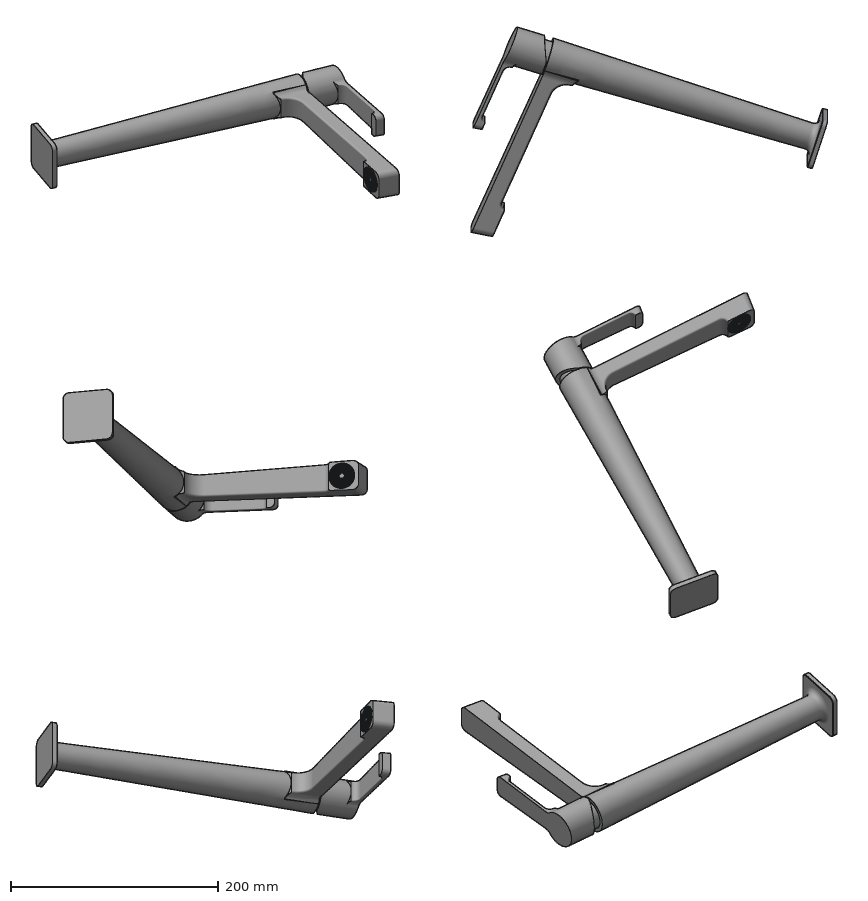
import cadquery as cq
import math


plate_size = 50.0
plate_thickness = 5.0
plate_corner_radius = 6.0
plate_edge_chamfer = 0.5

column_height = 275.4
column_foot_radius = 13.1
column_top_radius = 18.5
foot_flare_radius = 6.0

neck_radius = 14.8
cap_radius = column_top_radius
cap_gap = 1.0
cap_axis_height = 314.0
relief_start_x = 2.0
relief_height = 8.5

arm_rise = math.radians(6.0)
heel_angle = math.radians(30.0)
slope = math.tan(arm_rise)

spout_reach = 188.78
spout_top_at_axis = column_height - column_top_radius * slope
spout_thickness = 14.9
spout_head_depth = 20.4
spout_head_length = 34.0
spout_step_radius = 6.0
spout_root_width = 22.2
spout_tip_width = 29.8
spout_root_radius = 16.5
spout_side_radius = 9.6
spout_side_run = 7.8
spout_corner_radius = 6.0
spout_edge_fillet = 1.8

lever_reach = 88.4
lever_thickness = 3.5
lever_head_depth = 8.3
lever_head_length = 10.0
lever_step_radius = 4.8
lever_root_width = 21.6
lever_tip_width = 24.3
lever_root_radius = 7.0
lever_side_radius = 8.0
lever_side_run = 4.8
lever_corner_radius = 5.0
lever_edge_fillet = 0.8

aerator_center_x = 169.9
aerator_radius = 12.6
aerator_groove_count = 5
aerator_groove_pitch = 2.2
aerator_groove_width = 1.1
aerator_groove_depth = 1.0


def make_plate():
    """Square base plate with rounded corners and a chamfered upper rim."""
    plate = cq.Workplane("XZ").rect(plate_size, plate_size).extrude(-plate_thickness)
    plate = plate.edges("|Y").fillet(plate_corner_radius)
    return plate.faces(">Y").edges().chamfer(plate_edge_chamfer)


def make_column():
    """Revolved column with a concave flare at its foot."""
    flare_top = plate_thickness + foot_flare_radius
    flare_foot_radius = column_foot_radius + foot_flare_radius
    return (
        cq.Workplane("XY")
        .lineTo(flare_foot_radius, 0)
        .lineTo(flare_foot_radius, plate_thickness)
        .radiusArc((column_foot_radius, flare_top), foot_flare_radius)
        .lineTo(column_top_radius, column_height)
        .lineTo(0, column_height)
        .close()
        .revolve(360, (0, 0, 0), (0, 1, 0))
    )


def make_cap():
    """Lever cap with a sloping top and a slanted relief under its rear side, on a narrower neck."""
    cap_bottom = column_height + cap_gap
    outline = (
        cq.Workplane("XY")
        .polyline([
            (relief_start_x, cap_bottom),
            (cap_radius, cap_bottom),
            (cap_radius, cap_axis_height + cap_radius * slope),
            (-cap_radius, cap_axis_height - cap_radius * slope),
            (-cap_radius, cap_bottom + relief_height),
        ])
        .close()
        .extrude(cap_radius, both=True)
    )
    round_bar = cq.Workplane("XZ").circle(cap_radius).extrude(-2 * cap_axis_height)
    neck_top = cap_bottom + relief_height
    neck = (
        cq.Workplane("XZ", origin=(0, column_height, 0))
        .circle(neck_radius)
        .extrude(column_height - neck_top)
    )
    return round_bar.intersect(outline).union(neck)


def arm_point(top_at_axis, along, drop):
    """Place a point by its distance along an arm's top face and its drop square to that face."""
    x = along * math.cos(arm_rise) + drop * math.sin(arm_rise)
    y = top_at_axis + along * math.sin(arm_rise) - drop * math.cos(arm_rise)
    return (x, y)


def make_arm_profile(reach, top_at_axis, thickness, head_depth, head_length, step_radius, root_radius,
                     side_run):
    """Side shape: a rising bar with a deeper, undercut head and a flare underneath at the root."""
    root_x = column_top_radius
    tip_along = reach / math.cos(arm_rise)
    tip_setback = head_depth * math.tan(2 * arm_rise)
    head_along = tip_along - head_length
    step_rise = step_radius - (head_depth - thickness)
    step_run = math.sqrt(step_radius ** 2 - step_rise ** 2)

    corner_y = top_at_axis + root_x * slope - thickness / math.cos(arm_rise)
    tangent_length = root_radius * math.tan((math.pi / 2 - arm_rise) / 2)
    flare_bottom = (root_x, corner_y - tangent_length)
    flare_end = (
        root_x + tangent_length * math.cos(arm_rise),
        corner_y + tangent_length * math.sin(arm_rise),
    )
    heel = (root_x - side_run, flare_bottom[1] - side_run * math.tan(heel_angle))
    return (
        cq.Workplane("XY")
        .moveTo(0, top_at_axis)
        .lineTo(*arm_point(top_at_axis, tip_along, 0))
        .lineTo(*arm_point(top_at_axis, tip_along - tip_setback, head_depth))
        .lineTo(*arm_point(top_at_axis, head_along, head_depth))
        .radiusArc(arm_point(top_at_axis, head_along - step_run, thickness), -step_radius)
        .lineTo(*flare_end)
        .radiusArc(flare_bottom, -root_radius)
        .lineTo(*heel)
        .lineTo(0, heel[1])
        .close()
        .extrude(column_top_radius, both=True)
    )


def make_arm_plan(reach, top_at_axis, root_width, tip_width, side_radius, side_run):
    """Plan shape: straight sides widening toward the tip, flared outward into the column."""
    root_x = column_top_radius
    root_half = root_width / 2
    tip_half = tip_width / 2
    flare_x = root_x - side_run
    flare_half = root_half + side_radius - math.sqrt(side_radius ** 2 - side_run ** 2)
    return (
        cq.Workplane("XZ")
        .moveTo(0, -flare_half)
        .lineTo(flare_x, -flare_half)
        .radiusArc((root_x, -root_half), side_radius)
        .lineTo(reach, -tip_half)
        .lineTo(reach, tip_half)
        .lineTo(root_x, root_half)
        .radiusArc((flare_x, flare_half), side_radius)
        .lineTo(0, flare_half)
        .close()
        .extrude(-2 * top_at_axis)
    )


def make_arm(reach, top_at_axis, thickness, head_depth, head_length, step_radius, root_width,
             tip_width, root_radius, side_radius, side_run, corner_radius, edge_fillet):
    """Arm with rounded long lower edges and rounded tip corners."""
    profile = make_arm_profile(
        reach, top_at_axis, thickness, head_depth, head_length, step_radius, root_radius, side_run
    )
    plan = make_arm_plan(reach, top_at_axis, root_width, tip_width, side_radius, side_run)
    arm = profile.intersect(plan)

    middle_along = (column_top_radius + reach) / 2
    middle_x, middle_y = arm_point(top_at_axis, middle_along, thickness)
    lower_edges = cq.selectors.BoxSelector(
        (middle_x - head_length, middle_y - thickness / 2, -tip_width),
        (middle_x + head_length, middle_y + thickness / 2, tip_width),
    )
    arm = arm.edges(lower_edges).edges("not |Z").fillet(edge_fillet)

    tip_x = reach - head_depth / 2 * slope
    tip_y = top_at_axis + reach * slope - head_depth / 2
    tip_corners = cq.selectors.BoxSelector(
        (tip_x - corner_radius / 2, tip_y - head_depth / 4, -tip_width),
        (tip_x + corner_radius / 2, tip_y + head_depth / 4, tip_width),
    )
    return arm.edges(tip_corners).fillet(corner_radius)


def cut_aerator(body):
    """Concentric ring grooves in the underside of the spout head."""
    center_along = (aerator_center_x - spout_head_depth * math.sin(arm_rise)) / math.cos(arm_rise)
    center_x, center_y = arm_point(spout_top_at_axis, center_along, spout_head_depth)
    underside = cq.Plane(
        origin=(center_x, center_y, 0),
        xDir=(0, 0, 1),
        normal=(math.sin(arm_rise), -math.cos(arm_rise), 0),
    )
    for index in range(aerator_groove_count):
        outer_radius = aerator_radius - index * aerator_groove_pitch
        groove = (
            cq.Workplane(underside)
            .circle(outer_radius)
            .circle(outer_radius - aerator_groove_width)
            .extrude(-aerator_groove_depth)
        )
        body = body.cut(groove)
    return body


spout = make_arm(
    reach=spout_reach,
    top_at_axis=spout_top_at_axis,
    thickness=spout_thickness,
    head_depth=spout_head_depth,
    head_length=spout_head_length,
    step_radius=spout_step_radius,
    root_width=spout_root_width,
    tip_width=spout_tip_width,
    root_radius=spout_root_radius,
    side_radius=spout_side_radius,
    side_run=spout_side_run,
    corner_radius=spout_corner_radius,
    edge_fillet=spout_edge_fillet,
)

lever = make_arm(
    reach=lever_reach,
    top_at_axis=cap_axis_height,
    thickness=lever_thickness,
    head_depth=lever_head_depth,
    head_length=lever_head_length,
    step_radius=lever_step_radius,
    root_width=lever_root_width,
    tip_width=lever_tip_width,
    root_radius=lever_root_radius,
    side_radius=lever_side_radius,
    side_run=lever_side_run,
    corner_radius=lever_corner_radius,
    edge_fillet=lever_edge_fillet,
)

tap = make_plate().union(make_column()).union(make_cap()).union(spout).union(lever)
result = cut_aerator(tap)